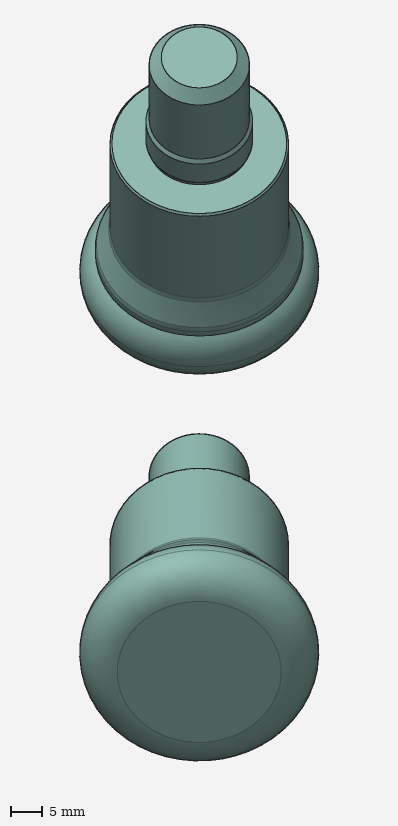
import cadquery as cq
import math

total_height = 63.0

bulge_diameter = 38.1
bulge_radius = bulge_diameter / 2
bulge_section_radius = 6.0

skirt_radius = 16.6
skirt_bottom_z = 12.4
skirt_top_z = 17.45
skirt_blend_radius = 2.0
sleeve_radius = 14.25
sleeve_top_z = 40.0
sleeve_chamfer = 0.3

pin_radius = 8.0
pin_tip_chamfer = 1.95
collar_radius = 8.5
collar_top_z = 46.6
collar_top_chamfer_height = 0.7
collar_bottom_z = 40.65
collar_bottom_chamfer = 0.3
neck_radius = collar_radius - collar_bottom_chamfer

bulge_center_radius = bulge_radius - bulge_section_radius
bulge_center_z = bulge_section_radius
skirt_foot_z = bulge_center_z + math.sqrt(
    bulge_section_radius**2 - (skirt_radius - bulge_center_radius) ** 2
)


def bulge_point(angle):
    """Point (radius, height) on the bulge section, angle in degrees above the equator."""
    turn = math.radians(angle)
    return (
        bulge_center_radius + bulge_section_radius * math.cos(turn),
        bulge_center_z + bulge_section_radius * math.sin(turn),
    )


def revolve_about_z(half_profile):
    """Revolve a closed (radius, height) profile a full turn about the Z axis."""
    return half_profile.revolve(360, (0, 0, 0), (0, 1, 0))


def circular_edge_at(z):
    """Select the circular edges whose centre is on the axis at height z."""
    reach = 0.05
    return cq.selectors.BoxSelector((-reach, -reach, z - reach), (reach, reach, z + reach))


def make_knob():
    """Rounded grip with a flat base and a flat seat on top for the plunger."""
    seat_angle = math.degrees(
        math.asin((skirt_foot_z - bulge_center_z) / bulge_section_radius)
    )
    profile = (
        cq.Workplane("XZ")
        .lineTo(bulge_center_radius, 0)
        .threePointArc(bulge_point(-45), bulge_point(0))
        .threePointArc(bulge_point(seat_angle / 2), (skirt_radius, skirt_foot_z))
        .lineTo(0, skirt_foot_z)
        .close()
    )
    return revolve_about_z(profile)


def make_plunger():
    """Flared skirt, cylindrical sleeve and collared pin, standing on the knob."""
    profile = (
        cq.Workplane("XZ")
        .moveTo(0, skirt_foot_z)
        .lineTo(skirt_radius, skirt_foot_z)
        .lineTo(skirt_radius, skirt_bottom_z)
        .lineTo(sleeve_radius, skirt_top_z)
        .lineTo(sleeve_radius, sleeve_top_z - sleeve_chamfer)
        .lineTo(sleeve_radius - sleeve_chamfer, sleeve_top_z)
        .lineTo(neck_radius, sleeve_top_z)
        .lineTo(neck_radius, collar_bottom_z)
        .lineTo(collar_radius, collar_bottom_z + collar_bottom_chamfer)
        .lineTo(collar_radius, collar_top_z - collar_top_chamfer_height)
        .lineTo(pin_radius, collar_top_z)
        .lineTo(pin_radius, total_height - pin_tip_chamfer)
        .lineTo(pin_radius - pin_tip_chamfer, total_height)
        .lineTo(0, total_height)
        .close()
    )
    plunger = revolve_about_z(profile)
    for blend_z in (skirt_bottom_z, skirt_top_z):
        plunger = plunger.edges(circular_edge_at(blend_z)).fillet(skirt_blend_radius)
    return plunger


knob = make_knob()
plunger = make_plunger()

result = cq.Compound.makeCompound([knob.val(), plunger.val()])